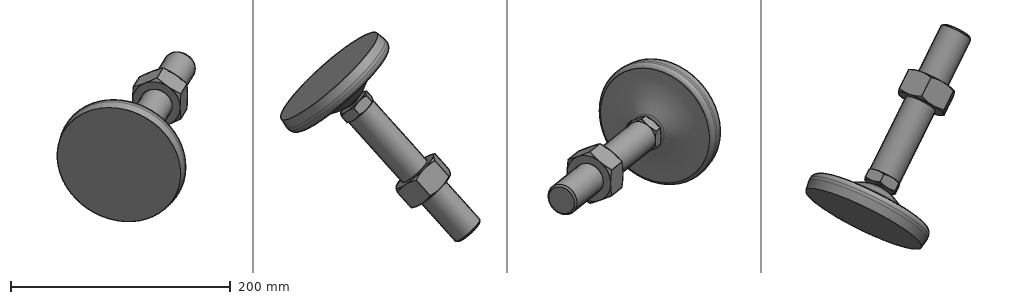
import cadquery as cq
import math

total_length = 193.5

foot_diameter = 120.0
sole_diameter = 117.3
taper_height = 8.7
band_height = 2.9
rim_top_height = 17.0
rim_top_radius = 56.5
flare_mid_radius = 32.0
flare_mid_height = 22.0
crown_radius = 16.3
crown_base_height = 29.2
crown_top_height = 32.9

stud_diameter = 30.0
stud_chamfer = 1.7
neck_diameter = 10.0
stud_hex_start = 33.0
stud_hex_height = 10.5

nut_width = 45.3
nut_start = 118.6
nut_height = 23.5

hex_chamfer_angle = math.radians(30)


def cylinder(diameter, start, length):
    """Round bar along +Y beginning at the given height above the sole."""
    plane = cq.Workplane("XZ", origin=(0, start, 0))
    return plane.circle(diameter / 2).extrude(-length)


def hexagon(width, start, height):
    """Hexagon along +Y with corners on Z and conical chamfers at both ends."""
    face_radius = width / 2
    corner_radius = face_radius / math.cos(math.pi / 6)
    chamfer_depth = (corner_radius - face_radius) * math.tan(hex_chamfer_angle)
    end = start + height
    corner_angles = [math.radians(60 * i) for i in range(6)]
    corners = [(corner_radius * math.sin(a), corner_radius * math.cos(a)) for a in corner_angles]
    prism = cq.Workplane("XZ", origin=(0, start, 0)).polyline(corners).close().extrude(-height)
    envelope = (
        cq.Workplane("XY")
        .moveTo(0, start)
        .lineTo(face_radius, start)
        .lineTo(corner_radius, start + chamfer_depth)
        .lineTo(corner_radius, end - chamfer_depth)
        .lineTo(face_radius, end)
        .lineTo(0, end)
        .close()
        .revolve(360, (0, 0, 0), (0, 1, 0))
    )
    return prism.intersect(envelope)


def foot_plate():
    """Revolved plate: tapered sole, straight band, rounded rim, flare and domed crown."""
    foot_radius = foot_diameter / 2
    crown_rise = crown_top_height - crown_base_height
    dome_radius = (crown_radius**2 + crown_rise**2) / (2 * crown_rise)
    crown_mid_radius = crown_radius / 2
    crown_mid_height = crown_top_height - dome_radius + math.sqrt(dome_radius**2 - crown_mid_radius**2)
    band_top = taper_height + band_height
    return (
        cq.Workplane("XY")
        .lineTo(sole_diameter / 2, 0)
        .lineTo(foot_radius, taper_height)
        .lineTo(foot_radius, band_top)
        .tangentArcPoint((rim_top_radius, rim_top_height), relative=False)
        .threePointArc((flare_mid_radius, flare_mid_height), (crown_radius, crown_base_height))
        .threePointArc((crown_mid_radius, crown_mid_height), (0, crown_top_height))
        .close()
        .revolve(360, (0, 0, 0), (0, 1, 0))
    )


stud_start = stud_hex_start + stud_hex_height
stud = cylinder(stud_diameter, stud_start, total_length - stud_start).faces(">Y").chamfer(stud_chamfer)
neck = cylinder(neck_diameter, crown_base_height, stud_hex_start - crown_base_height)
stud_hex = hexagon(stud_diameter, stud_hex_start, stud_hex_height)
nut = hexagon(nut_width, nut_start, nut_height)

result = foot_plate().union(neck).union(stud_hex).union(stud).union(nut)